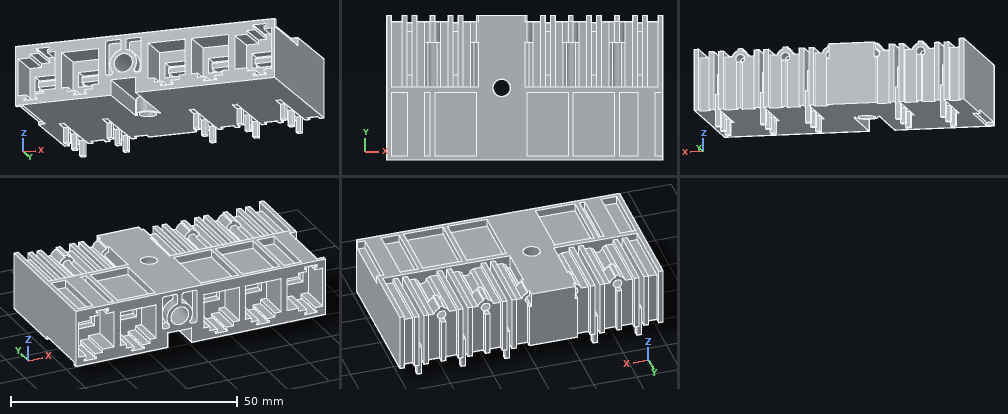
import cadquery as cq
import math


LENGTH = 60.95
DEPTH = 32.0
HEIGHT = 13.65
PITCH = 10.2
FLANGE_POLE = 2
CONTACT_POLES = [0, 1, 3, 4, 5]
MID_POLE = 2.5
SIDE_WALL = 1.05
PARTITION = 1.05
HALF_PARTITION = PARTITION / 2
MID_HEIGHT = HEIGHT / 2

DECK_FRONT = 16.15
DECK_BACK = 30.6
DECK_DROP = 1.7
DECK_Z = HEIGHT - DECK_DROP
CONTACT_GAP = 1.1
RIB = 1.1
RIB_TOP = 13.0

ARCH_FRONT = 26.0
ARCH_RADIUS = 1.9
GROOVE_RADIUS = 1.0
GROOVE_HALF_MOUTH = 1.75
GROOVE_BEVEL = 35.0
GROOVE_DROP = (GROOVE_HALF_MOUTH - GROOVE_RADIUS) * math.tan(math.radians(GROOVE_BEVEL))
GROOVE_Z = DECK_Z - GROOVE_DROP
TAIL_Z = GROOVE_Z - GROOVE_RADIUS

SOCKET_DEPTH = 7.45
SOCKET_WIDTH = 8.65
SOCKET_FLOOR = 2.9
SOCKET_TOP = 11.1
SOCKET_STEP_WIDTH = 5.7
SOCKET_STEP_FLOOR = 1.95
END_SOCKET_TOP = 10.65
END_STEP_FLOOR = 2.2
END_STEP_TOP = 11.5
END_STEP_START = -1.5
KEY_OFFSET = 1.45
KEY_NECK = 2.1
KEY_HEAD = 3.0
LOWER_NECK_Z = 1.35
LOWER_KEY_Z = 1.0
UPPER_NECK_Z = 12.15
UPPER_KEY_Z = 12.7

BLADE_WIDTH = 4.5
BLADE_THICKNESS = 1.15
BLADE_RECESS_WIDTH = 6.1
BLADE_RECESS_HEIGHT = 3.4
BLADE_RECESS_DEPTH = 2.9
BLADE_Z = 6.7
PLATE_FRONT_TOP = BLADE_Z + BLADE_THICKNESS / 2
PLATE_TOP = 8.55
PLATE_TAIL_TOP = 3.65
PLATE_RISE = 18.85
PLATE_FALL = 28.4
PLATE_BACK = 30.35
PIN_WIDTH = 1.2
PIN_COUNT = 3
PIN_PITCH = PITCH / 2
PIN_LENGTH = 3.5

POCKET_FRONT = 1.0
POCKET_BACK = 15.0
POCKET_DEPTH = 1.8
KEY_BOSS = 3.8
SIDE_POCKET_WIDTH = 1.6
SIDE_POCKET_HEIGHT = 0.75

SCREW_Y = 16.0
SCREW_RADIUS = 1.9
POST_RADIUS = 2.5
BORE_Z = 7.2
BORE_RADIUS = 2.15
RING_RADIUS = 3.1
RING_FOOT = 5.0
RING_WEB = 1.15
FLANGE_POCKET_WIDTH = 8.4
FLANGE_POCKET_BOTTOM = 4.75
FLANGE_POCKET_TOP = 12.7
FLANGE_POCKET_DEPTH = 2.45
FLANGE_POCKET_FILLET = 0.5
RING_WEB_FILLET = 0.25
SLOT_WIDTH = 5.8
SLOT_HEIGHT = 3.55


def pole_x(index):
    return (index - MID_POLE) * PITCH


def block(x0, x1, y0, y1, z0, z1):
    """Axis-aligned block between two corners."""
    return cq.Workplane("XY").box(x1 - x0, y1 - y0, z1 - z0, centered=False).translate((x0, y0, z0))


def wall(x, thickness, y0, y1, z0, z1):
    """Block centred on x."""
    return block(x - thickness / 2, x + thickness / 2, y0, y1, z0, z1)


def along_y(x, z, radius, y0, y1):
    """Round bar parallel to Y."""
    return cq.Workplane("XZ", origin=(x, y0, z)).circle(radius).extrude(y0 - y1)


def along_z(x, y, radius, z0, z1):
    """Round bar parallel to Z."""
    return cq.Workplane("XY", origin=(x, y, z0)).circle(radius).extrude(z1 - z0)


FLANGE_X = pole_x(FLANGE_POLE)
LAST_POLE = CONTACT_POLES[-1]
PARTITIONS = [pole_x(i + 0.5) for i in range(LAST_POLE)]
TOWER_LEFT = FLANGE_X - PITCH / 2
TOWER_RIGHT = FLANGE_X + PITCH / 2


def rear_ribs():
    """Upright plates: both end walls and a slightly lower pair of ribs at every contact."""
    inner_wall = LENGTH / 2 - SIDE_WALL
    ribs = block(-LENGTH / 2, -inner_wall, DECK_FRONT, DEPTH, 0, HEIGHT)
    ribs = ribs.union(block(inner_wall, LENGTH / 2, DECK_FRONT, DEPTH, 0, HEIGHT))
    for pole in CONTACT_POLES:
        for side in (-1, 1):
            x = pole_x(pole) + side * (CONTACT_GAP + RIB) / 2
            ribs = ribs.union(wall(x, RIB, DECK_FRONT, DEPTH, 0, RIB_TOP))
    return ribs


def groove_cutter(x):
    """Bevelled mouth over a half-round channel; the channel also runs under the arch."""
    mouth = (
        cq.Workplane("XZ", origin=(x, DECK_FRONT, 0))
        .moveTo(-GROOVE_HALF_MOUTH, DECK_Z)
        .lineTo(-GROOVE_RADIUS, GROOVE_Z)
        .lineTo(GROOVE_RADIUS, GROOVE_Z)
        .lineTo(GROOVE_HALF_MOUTH, DECK_Z)
        .close()
        .extrude(DECK_FRONT - ARCH_FRONT)
    )
    return mouth.union(along_y(x, GROOVE_Z, GROOVE_RADIUS, DECK_FRONT, DECK_BACK))


def partition_top(x):
    """Arch with a rib on its crown, and the low end of the partition behind it."""
    arch = along_y(x, GROOVE_Z, ARCH_RADIUS, ARCH_FRONT, DECK_BACK)
    crown = wall(x, PARTITION, ARCH_FRONT, DECK_BACK, DECK_Z, HEIGHT)
    tail = wall(x, PARTITION, DECK_BACK, DEPTH, 0, TAIL_Z)
    return arch.union(crown).union(tail)


def shell():
    """Outer block with the rear deck, its ribs, arches and the flange tower."""
    body = block(-LENGTH / 2, LENGTH / 2, 0, DECK_FRONT, 0, HEIGHT)
    body = body.union(block(-LENGTH / 2, LENGTH / 2, DECK_FRONT, DECK_BACK, 0, DECK_Z))
    for x in PARTITIONS:
        body = body.union(partition_top(x)).cut(groove_cutter(x))
    body = body.union(rear_ribs())
    body = body.union(block(TOWER_LEFT, TOWER_RIGHT, DECK_FRONT, DEPTH, 0, HEIGHT))
    for pole in CONTACT_POLES:
        body = body.cut(wall(pole_x(pole), CONTACT_GAP, DECK_FRONT, DEPTH, 0, HEIGHT))
    return body


def key_slot(x, shoulder_z, neck_z, end_z):
    """T-shaped keyway opening from a socket floor or ceiling at shoulder_z."""
    neck = wall(x, KEY_NECK, 0, SOCKET_DEPTH, min(shoulder_z, neck_z), max(shoulder_z, neck_z))
    head = wall(x, KEY_HEAD, 0, SOCKET_DEPTH, min(neck_z, end_z), max(neck_z, end_z))
    return neck.union(head)


def inner_socket(x):
    cavity = wall(x, SOCKET_WIDTH, 0, SOCKET_DEPTH, SOCKET_FLOOR, SOCKET_TOP)
    cavity = cavity.union(wall(x, SOCKET_STEP_WIDTH, 0, SOCKET_DEPTH, SOCKET_STEP_FLOOR, SOCKET_FLOOR))
    return cavity.union(key_slot(x, SOCKET_STEP_FLOOR, LOWER_NECK_Z, LOWER_KEY_Z))


def end_step(x, side, z0, z1):
    """Wider part of an end socket, reaching its wall on the given side (-1 or +1)."""
    edges = sorted([x + side * END_STEP_START, x + side * SOCKET_WIDTH / 2])
    return block(edges[0], edges[1], 0, SOCKET_DEPTH, z0, z1)


def end_socket(x, lower_side):
    """End-pole socket; its lower keyway lies on lower_side, its upper keyway towards +X."""
    cavity = wall(x, SOCKET_WIDTH, 0, SOCKET_DEPTH, SOCKET_FLOOR, END_SOCKET_TOP)
    cavity = cavity.union(end_step(x, lower_side, END_STEP_FLOOR, SOCKET_FLOOR))
    cavity = cavity.union(end_step(x, 1, END_SOCKET_TOP, END_STEP_TOP))
    lower_key = key_slot(x + lower_side * KEY_OFFSET, END_STEP_FLOOR, LOWER_NECK_Z, LOWER_KEY_Z)
    upper_key = key_slot(x + KEY_OFFSET, END_STEP_TOP, UPPER_NECK_Z, UPPER_KEY_Z)
    return cavity.union(lower_key).union(upper_key)


def socket(pole):
    """Plug socket of one pole, with the recess around its blade."""
    x = pole_x(pole)
    if pole == CONTACT_POLES[0]:
        cavity = end_socket(x, -1)
    elif pole == LAST_POLE:
        cavity = end_socket(x, 1)
    else:
        cavity = inner_socket(x)
    half_recess = BLADE_RECESS_HEIGHT / 2
    recess = wall(
        x, BLADE_RECESS_WIDTH, SOCKET_DEPTH, SOCKET_DEPTH + BLADE_RECESS_DEPTH,
        MID_HEIGHT - half_recess, MID_HEIGHT + half_recess,
    )
    return cavity.union(recess)


def top_pocket(pole):
    """Pocket above one socket; end poles keep a solid boss over the upper keyway."""
    x = pole_x(pole)
    left = x - PITCH / 2 + HALF_PARTITION
    right = x + PITCH / 2 - HALF_PARTITION
    floor = HEIGHT - POCKET_DEPTH
    if pole == CONTACT_POLES[0]:
        left = -LENGTH / 2 + SIDE_WALL
    if pole == LAST_POLE:
        right = LENGTH / 2
    pocket = block(left, right, POCKET_FRONT, POCKET_BACK, floor, HEIGHT)
    if pole in (CONTACT_POLES[0], LAST_POLE):
        pocket = pocket.cut(wall(x + KEY_OFFSET, KEY_BOSS, POCKET_FRONT, POCKET_BACK, floor, HEIGHT))
    return pocket


def side_pocket():
    """Shallow relief along the lower -X edge."""
    left = -LENGTH / 2
    return block(left, left + SIDE_POCKET_WIDTH, POCKET_FRONT, POCKET_BACK, 0, SIDE_POCKET_HEIGHT)


def flange_pockets():
    """Pair of front pockets that leave a ring on a foot, hung from a central web."""
    bottom, top, depth = FLANGE_POCKET_BOTTOM, FLANGE_POCKET_TOP, FLANGE_POCKET_DEPTH
    pockets = wall(FLANGE_X, FLANGE_POCKET_WIDTH, 0, depth, bottom, top)
    pockets = pockets.cut(along_y(FLANGE_X, BORE_Z, RING_RADIUS, 0, depth))
    pockets = pockets.cut(wall(FLANGE_X, RING_FOOT, 0, depth, bottom, BORE_Z))
    pockets = pockets.cut(wall(FLANGE_X, RING_WEB, 0, depth, BORE_Z, top))
    pockets = pockets.edges("|Y").edges("<Z or >Z").fillet(FLANGE_POCKET_FILLET)
    web_foot = cq.selectors.BoxSelector(
        (FLANGE_X - RING_WEB, 0, BORE_Z),
        (FLANGE_X + RING_WEB, depth, BORE_Z + RING_RADIUS),
    )
    return pockets.edges("|Y").edges(web_foot).fillet(RING_WEB_FILLET)


def screw_passages():
    """Front bore and underside slot, both ending on the round post of the screw hole."""
    bore = along_y(FLANGE_X, BORE_Z, BORE_RADIUS, 0, SCREW_Y)
    slot = wall(FLANGE_X, SLOT_WIDTH, 0, SCREW_Y, 0, SLOT_HEIGHT)
    post = along_z(FLANGE_X, SCREW_Y, POST_RADIUS, 0, HEIGHT)
    screw_hole = along_z(FLANGE_X, SCREW_Y, SCREW_RADIUS, 0, HEIGHT)
    return bore.union(slot).cut(post).union(screw_hole)


def make_contact(pole):
    """Flat blade joined to an upright plate that carries a row of solder pins."""
    x = pole_x(pole)
    half_blade = BLADE_THICKNESS / 2
    contact = wall(x, BLADE_WIDTH, SOCKET_DEPTH, DECK_FRONT, BLADE_Z - half_blade, BLADE_Z + half_blade)
    contact = contact.union(wall(x, CONTACT_GAP, DECK_FRONT, PLATE_RISE, 0, PLATE_FRONT_TOP))
    contact = contact.union(wall(x, CONTACT_GAP, PLATE_RISE, PLATE_FALL, 0, PLATE_TOP))
    contact = contact.union(wall(x, CONTACT_GAP, PLATE_FALL, PLATE_BACK, 0, PLATE_TAIL_TOP))
    for i in range(PIN_COUNT):
        pin_back = PLATE_BACK - i * PIN_PITCH
        contact = contact.union(wall(x, CONTACT_GAP, pin_back - PIN_WIDTH, pin_back, -PIN_LENGTH, 0))
    return contact


def make_housing(contacts):
    housing = shell()
    for pole in CONTACT_POLES:
        housing = housing.cut(socket(pole))
        housing = housing.cut(top_pocket(pole))
    housing = housing.cut(side_pocket())
    housing = housing.cut(flange_pockets())
    housing = housing.cut(screw_passages())
    for contact in contacts:
        housing = housing.cut(contact)
    return housing


contacts = [make_contact(pole) for pole in CONTACT_POLES]
housing = make_housing(contacts)

contact_solids = [contact.solids().val() for contact in contacts]
result = cq.Compound.makeCompound([housing.solids().val(), *contact_solids])